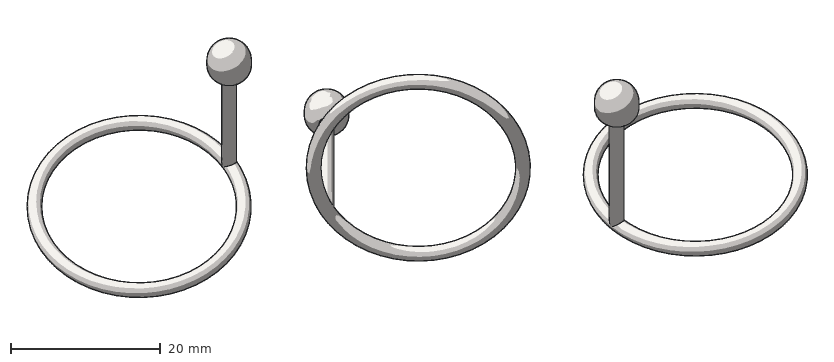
import cadquery as cq

overall_length = 32.0
overall_height = 27.0
wire_diameter = overall_length / 16
knob_diameter = 3 * wire_diameter

wire_radius = wire_diameter / 2
knob_radius = knob_diameter / 2
knob_overhang = knob_radius - wire_radius
ring_radius = (overall_length - knob_overhang) / 2 - wire_radius

knob_top = overall_height - wire_radius
knob_bottom = knob_top - knob_diameter
dome_start = knob_top - knob_radius
lower_round = knob_overhang


def make_ring():
    """Round wire bent to a full circle lying in the XY plane."""
    return cq.Workplane("XY").add(cq.Solid.makeTorus(ring_radius, wire_radius))


def make_post():
    """Upright wire rising from the ring's centreline at its back."""
    return cq.Workplane("XY").center(0, ring_radius).circle(wire_radius).extrude(knob_bottom)


def make_knob():
    """Domed knob with a short straight band and a rounded underside."""
    round_end = knob_bottom + lower_round
    diagonal = 0.5**0.5
    round_middle = (
        knob_radius - lower_round * (1 - diagonal),
        knob_bottom + lower_round * (1 - diagonal),
    )
    dome_middle = (knob_radius * diagonal, dome_start + knob_radius * diagonal)
    profile = (
        cq.Workplane("XZ")
        .moveTo(0, knob_bottom)
        .lineTo(knob_radius - lower_round, knob_bottom)
        .threePointArc(round_middle, (knob_radius, round_end))
        .lineTo(knob_radius, dome_start)
        .threePointArc(dome_middle, (0, knob_top))
        .close()
    )
    return profile.revolve(360, (0, 0), (0, 1)).translate((0, ring_radius, 0))


result = make_ring().union(make_post()).union(make_knob())